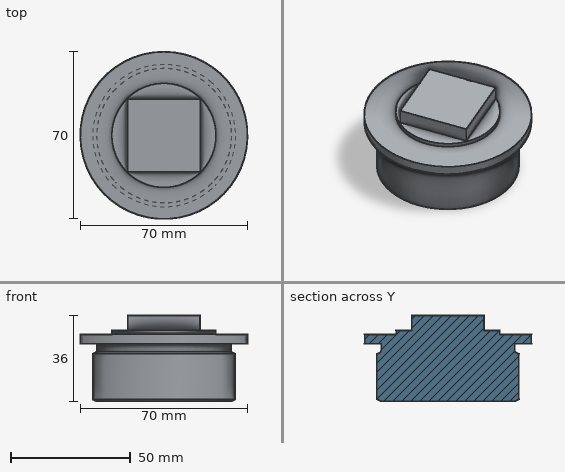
import cadquery as cq

body_diameter = 59.65
chamfer_end_diameter = 56.4
neck_diameter = 56.2
flange_diameter = 70.0
boss_diameter = 43.55
square_side = 30.25

bottom_chamfer_height = 0.85
body_edge_height = 19.8
body_top_height = 20.65
neck_base_height = 21.0
flange_base_height = 24.0
flange_top_height = 28.0
boss_top_height = 29.7
total_height = 36.0

body_radius = body_diameter / 2
neck_radius = neck_diameter / 2
chamfer_end_radius = chamfer_end_diameter / 2
flange_radius = flange_diameter / 2
boss_radius = boss_diameter / 2


def turned_plug():
    """Chamfered body, slight taper to the neck, flange and boss revolved about Z."""
    profile = [
        (0, 0),
        (chamfer_end_radius, 0),
        (body_radius, bottom_chamfer_height),
        (body_radius, body_edge_height),
        (chamfer_end_radius, body_top_height),
        (neck_radius, neck_base_height),
        (neck_radius, flange_base_height),
        (flange_radius, flange_base_height),
        (flange_radius, flange_top_height),
        (boss_radius, flange_top_height),
        (boss_radius, boss_top_height),
        (0, boss_top_height),
    ]
    return cq.Workplane("YZ").polyline(profile).close().revolve(360, (0, 0, 0), (0, 1, 0))


def square_head():
    """Square drive block standing on the boss."""
    head_height = total_height - boss_top_height
    return (
        cq.Workplane("XY")
        .workplane(offset=boss_top_height)
        .rect(square_side, square_side)
        .extrude(head_height)
    )


result = turned_plug().union(square_head())